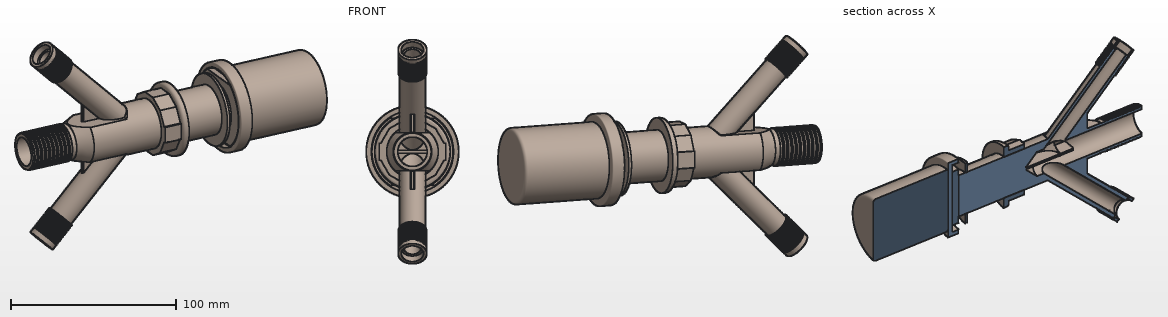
import cadquery as cq
import math

OVERALL_LENGTH = 198.1
OVERALL_HEIGHT = 135.9

BODY_RADIUS = 15.6
OUTLET_RADIUS = 11.3
CONE_START_Y = 30.3
CONE_END_Y = 40.0
FLAT_HEIGHT = 11.5

THREAD_RADIUS = 11.7
THREAD_FIRST_Y = 1.2
THREAD_PITCH = 2.71
THREAD_RIDGE_WIDTH = 1.5
THREAD_RIDGES = 10

BRANCH_ANGLE = 45.0
BRANCH_RADIUS = 8.0
BRANCH_TIP_RADIUS = 8.7
BRANCH_ROOT_Y = 73.9
BRANCH_COLLAR_LENGTH = 3.8
RIDGE_PITCH = 1.68
RIDGE_WIDTH = 0.9
BRANCH_RIDGES = 9
GUSSET_THICKNESS = 2.8
GUSSET_CHAMFER = 0.5

OUTLET_BORE_RADIUS = 9.0
OUTLET_BORE_DEPTH = 60.5
CHAMBER_RADIUS = 8.7
CHAMBER_DEPTH = 25.8
WEB_THICKNESS = 1.8
WEB_LENGTH = 10.0
BRANCH_BORE_RADIUS = 5.2
SOCKET_RADIUS = 6.7
SOCKET_DEPTH = 4.8

NUT_FRONT_Y = 86.5
NUT_SEAT_Y = 97.9
NUT_BACK_Y = 101.8
NUT_SIDES = 12
NUT_CORNER_RADIUS = 19.8
NUT_PAD_REACH = 20.2
NUT_SEAT_RADIUS = 23.0
NUT_SEAT_FILLET = 2.0

WASHER_FRONT_Y = 128.5
WASHER_THICKNESS = 1.8
WASHER_RADIUS = 22.5

RING_FRONT_Y = 135.1
RING_THICKNESS = 8.0
RING_RADIUS = 28.1
RING_FILLET = 0.5
RECESS_RADIUS = 25.0
DISC_RADIUS = 24.5
DISC_THICKNESS = 4.4
DISC_FLAT_HEIGHT = 20.2

CAP_RADIUS = 23.4
CAP_END_FILLET = 2.0
CAP_FRONT_FILLET = 1.0

BRANCH_LEAN = math.radians(BRANCH_ANGLE)
BRANCH_TIP_Z = OVERALL_HEIGHT / 2 - BRANCH_TIP_RADIUS * math.sin(BRANCH_LEAN)
BRANCH_LENGTH = BRANCH_TIP_Z / math.sin(BRANCH_LEAN)


def rod(radius, start_y, end_y):
    """Cylinder along Y between two stations."""
    return cq.Workplane("XZ", origin=(0, start_y, 0)).circle(radius).extrude(start_y - end_y)


def mirrored_pair(shape):
    """The shape joined with its reflection below the XY plane."""
    return shape.union(shape.mirror("XY"))


def branch_rod(radius, start, end):
    """Cylinder along the upper branch axis, measured from the point where it leaves the Y axis."""
    along_y = -math.cos(BRANCH_LEAN)
    along_z = math.sin(BRANCH_LEAN)
    plane = cq.Plane(
        origin=(0, BRANCH_ROOT_Y + start * along_y, start * along_z),
        xDir=(1, 0, 0),
        normal=(0, along_y, along_z),
    )
    return cq.Workplane(plane).circle(radius).extrude(end - start)


def body_barrel():
    """Revolved barrel: outlet spigot, cone and main cylinder."""
    profile = [
        (0, 0),
        (OUTLET_RADIUS, 0),
        (OUTLET_RADIUS, CONE_START_Y),
        (BODY_RADIUS, CONE_END_Y),
        (BODY_RADIUS, RING_FRONT_Y),
        (0, RING_FRONT_Y),
    ]
    return cq.Workplane("XY").polyline(profile).close().revolve(360, (0, 0, 0), (0, 1, 0))


def flat_cut():
    """Material above the upper flat, ending in a wall square to the branch axis."""
    crest_y = BRANCH_ROOT_Y + BRANCH_RADIUS / math.sin(BRANCH_LEAN) - BODY_RADIUS / math.tan(BRANCH_LEAN)
    wall_foot_y = crest_y - (BODY_RADIUS - FLAT_HEIGHT) * math.tan(BRANCH_LEAN)
    profile = [
        (CONE_START_Y, FLAT_HEIGHT),
        (wall_foot_y, FLAT_HEIGHT),
        (crest_y, BODY_RADIUS),
        (CONE_START_Y, BODY_RADIUS),
    ]
    return cq.Workplane("YZ").polyline(profile).close().extrude(BODY_RADIUS, both=True)


def outlet_thread():
    """Ridges around the outlet spigot."""
    ridges = cq.Workplane("XY")
    for index in range(THREAD_RIDGES):
        start_y = THREAD_FIRST_Y + index * THREAD_PITCH
        ridges = ridges.union(rod(THREAD_RADIUS, start_y, start_y + THREAD_RIDGE_WIDTH))
    return ridges


def branch_tube():
    """Solid upper branch with its end collar and gripping ridges."""
    tube = branch_rod(BRANCH_RADIUS, 0, BRANCH_LENGTH)
    collar_start = BRANCH_LENGTH - BRANCH_COLLAR_LENGTH
    tube = tube.union(branch_rod(BRANCH_TIP_RADIUS, collar_start, BRANCH_LENGTH))
    for index in range(1, BRANCH_RIDGES + 1):
        start = collar_start - index * RIDGE_PITCH
        tube = tube.union(branch_rod(BRANCH_TIP_RADIUS, start, start + RIDGE_WIDTH))
    return tube


def gusset():
    """Triangular rib between the upper flat and the underside of its branch."""
    top_z = (BRANCH_ROOT_Y - CONE_END_Y) * math.tan(BRANCH_LEAN)
    profile = [
        (CONE_END_Y, 0),
        (BRANCH_ROOT_Y, 0),
        (CONE_END_Y, top_z),
    ]
    rib = cq.Workplane("YZ").polyline(profile).close().extrude(GUSSET_THICKNESS / 2, both=True)
    return rib.faces("<Y").edges("|Z").chamfer(GUSSET_CHAMFER)


def branch_bore():
    """Passage through the upper branch with a wider socket at its tip."""
    bore = branch_rod(BRANCH_BORE_RADIUS, 0, BRANCH_LENGTH)
    return bore.union(branch_rod(SOCKET_RADIUS, BRANCH_LENGTH - SOCKET_DEPTH, BRANCH_LENGTH))


def outlet_chamber():
    """Slanted end of the outlet bore that meets the upper branch passage."""
    reach = BRANCH_LENGTH / 2
    zone = rod(OUTLET_BORE_RADIUS, OUTLET_BORE_DEPTH, OUTLET_BORE_DEPTH + CHAMBER_DEPTH)
    upper_half = cq.Workplane("XY").rect(2 * BODY_RADIUS, 2 * OVERALL_LENGTH).extrude(BODY_RADIUS)
    zone = zone.intersect(upper_half)
    return zone.intersect(branch_rod(CHAMBER_RADIUS, -reach, reach))


def outlet_web():
    """Horizontal web dividing the inner end of the outlet bore."""
    start_y = OUTLET_BORE_DEPTH - WEB_LENGTH
    end_y = OUTLET_BORE_DEPTH + CHAMBER_DEPTH
    zone = cq.Workplane("XY").box(
        2 * BODY_RADIUS, end_y - start_y, WEB_THICKNESS, centered=(True, False, True)
    )
    return zone.translate((0, start_y, 0)).intersect(rod(OUTLET_BORE_RADIUS, start_y, end_y))


def make_valve_body():
    """Tubular body with a threaded outlet and two slanting branches."""
    body = body_barrel().cut(mirrored_pair(flat_cut()))
    body = body.union(outlet_thread())
    body = body.union(mirrored_pair(gusset()))
    body = body.union(mirrored_pair(branch_tube()))
    passages = rod(OUTLET_BORE_RADIUS, 0, OUTLET_BORE_DEPTH)
    passages = passages.union(mirrored_pair(outlet_chamber()))
    passages = passages.union(mirrored_pair(branch_bore()))
    return body.cut(passages.cut(outlet_web()))


def make_nut():
    """Twelve-sided nut with two raised facets and a round seat."""
    half_step = 180 / NUT_SIDES
    length = NUT_SEAT_Y - NUT_FRONT_Y
    grip = (
        cq.Workplane("XZ", origin=(0, NUT_SEAT_Y, 0))
        .transformed(rotate=(0, 0, half_step))
        .polygon(NUT_SIDES, 2 * NUT_CORNER_RADIUS)
        .extrude(length)
    )
    facet_width = 2 * NUT_CORNER_RADIUS * math.sin(math.radians(half_step))
    pads = cq.Workplane("XY").box(
        2 * NUT_PAD_REACH, length, facet_width, centered=(True, False, True)
    )
    seat = rod(NUT_SEAT_RADIUS, NUT_SEAT_Y, NUT_BACK_Y).faces("<Y").edges().fillet(NUT_SEAT_FILLET)
    nut = grip.union(pads.translate((0, NUT_FRONT_Y, 0))).union(seat)
    return nut.cut(rod(BODY_RADIUS, NUT_FRONT_Y, NUT_BACK_Y))


def make_washer():
    """Thin flat washer around the body."""
    end_y = WASHER_FRONT_Y + WASHER_THICKNESS
    return rod(WASHER_RADIUS, WASHER_FRONT_Y, end_y).cut(rod(BODY_RADIUS, WASHER_FRONT_Y, end_y))


def make_flange_ring():
    """Flange with rounded rims and a round recess in its front face."""
    ring = rod(RING_RADIUS, RING_FRONT_Y, RING_FRONT_Y + RING_THICKNESS).edges().fillet(RING_FILLET)
    return ring.cut(rod(RECESS_RADIUS, RING_FRONT_Y, RING_FRONT_Y + DISC_THICKNESS))


def make_flatted_disc():
    """Disc seated in the flange recess, with flats on top and bottom."""
    disc = rod(DISC_RADIUS, RING_FRONT_Y, RING_FRONT_Y + DISC_THICKNESS)
    flats = cq.Workplane("XY").box(
        2 * DISC_RADIUS, DISC_THICKNESS, 2 * DISC_FLAT_HEIGHT, centered=(True, False, True)
    )
    return disc.intersect(flats.translate((0, RING_FRONT_Y, 0)))


def make_cap():
    """Round cap behind the flange with both rims rounded."""
    cap = rod(CAP_RADIUS, RING_FRONT_Y + RING_THICKNESS, OVERALL_LENGTH)
    cap = cap.faces(">Y").edges().fillet(CAP_END_FILLET)
    return cap.faces("<Y").edges().fillet(CAP_FRONT_FILLET)


valve_body = make_valve_body()
nut = make_nut()
washer = make_washer()
flange_ring = make_flange_ring()
flatted_disc = make_flatted_disc()
cap = make_cap()

result = cq.Compound.makeCompound(
    [
        valve_body.val(),
        nut.val(),
        washer.val(),
        flange_ring.val(),
        flatted_disc.val(),
        cap.val(),
    ]
)